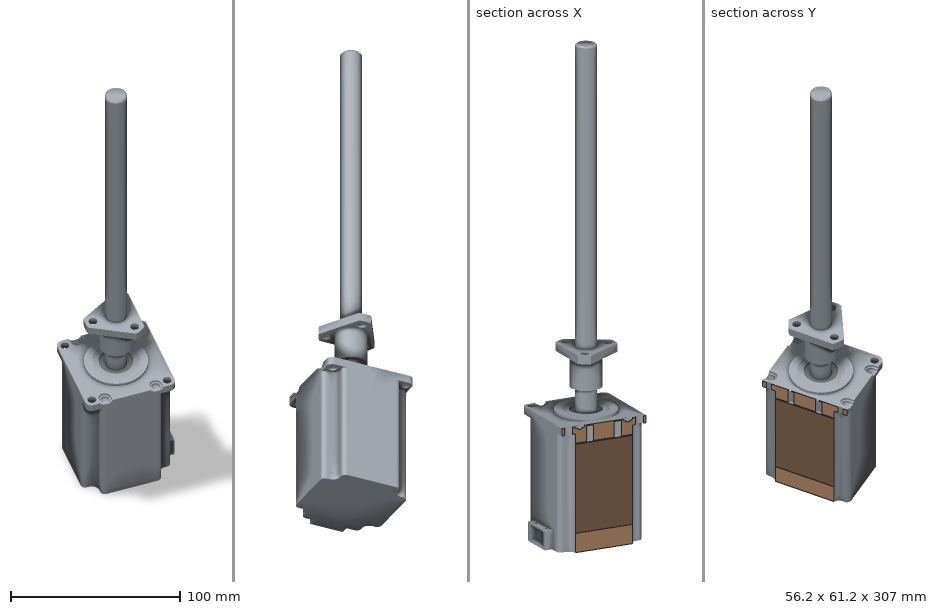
import cadquery as cq
import math

motor_width = 56.2
flange_half = motor_width / 2
total_height = 307.0

rear_cap_top = 12.0
stator_top = 67.3
spacer_top = 68.0
flange_bottom = 73.7
flange_top = 78.5
pilot_top = 80.5
nut_bottom = 94.3
nut_flange_bottom = 114.0
nut_flange_top = 119.2

hole_offset = 23.5
clearance_radius = 4.5
shoulder_radius = 2.92
flange_corner_radius = 3.7
mount_hole_radius = 2.6

pilot_radius = 19.0
pilot_well_radius = 10.0
blind_hole_radius = 2.3
blind_hole_near = 9.2
blind_hole_far = 22.7
blind_hole_skin = 1.0
pilot_step_radius = 13.8
pilot_step_depth = 0.3

notch_x = 25.0
notch_y = 16.0
notch_radius = 3.7
notch_depth = 1.2
notch_floor_radius = 2.5
notch_floor_depth = 2.0

shaft_radius = 6.5
shaft_chamfer = 1.0

nut_radius = 9.8
nut_fillet = 1.2
nut_corner_radius = 19.5
nut_edge_distance = 13.0
nut_hole_circle = 14.5
nut_hole_angle = 30
nut_hole_radius = 2.6

connector_width = 21.5
connector_length = 5.0
connector_wall = 1.0
connector_side_wall = 1.5
connector_root_fillet = 1.2
window_x = 6.0
window_width = 2.0
window_length = 2.5
window_inset = 1.5


def cylinder(radius, bottom, top):
    """Cylinder on the motor axis between two heights."""
    return cq.Workplane("XY").workplane(offset=bottom).circle(radius).extrude(top - bottom)


def quarter_turn(x, y, quarters):
    """Point turned clockwise about the motor axis by a number of quarter turns."""
    for _ in range(quarters):
        x, y = y, -x
    return x, y


def motor_block(bottom, top):
    """Square block with a rounded clearance groove along each corner."""
    inner = hole_offset - clearance_radius
    shoulder = flange_half - shoulder_radius
    flat_end = inner - shoulder_radius
    clearance_mid = hole_offset - clearance_radius * math.sqrt(0.5)
    shoulder_mid_near = inner - shoulder_radius * (1 - math.sqrt(0.5))
    shoulder_mid_far = flange_half - shoulder_radius * (1 - math.sqrt(0.5))

    profile = cq.Workplane("XY").workplane(offset=bottom).moveTo(-flat_end, flange_half)
    for quarter in range(4):
        profile = (
            profile.lineTo(*quarter_turn(flat_end, flange_half, quarter))
            .threePointArc(
                quarter_turn(shoulder_mid_near, shoulder_mid_far, quarter),
                quarter_turn(inner, shoulder, quarter),
            )
            .lineTo(*quarter_turn(inner, hole_offset, quarter))
            .threePointArc(
                quarter_turn(clearance_mid, clearance_mid, quarter),
                quarter_turn(hole_offset, inner, quarter),
            )
            .lineTo(*quarter_turn(shoulder, inner, quarter))
            .threePointArc(
                quarter_turn(shoulder_mid_far, shoulder_mid_near, quarter),
                quarter_turn(flange_half, flat_end, quarter),
            )
        )
    return profile.close().extrude(top - bottom)


def side_notch(side, end, radius, depth):
    """Round-ended cutter sunk into the flange top and running out through one X side."""
    length = flange_half - notch_x
    cutter = cq.Workplane("XY").circle(radius).extrude(depth)
    run_out = cq.Workplane("XY").center(side * length / 2, 0).rect(length, 2 * radius).extrude(depth)
    return cutter.union(run_out).translate((side * notch_x, end * notch_y, flange_top - depth))


def make_front_cap():
    """Mounting flange on a short motor block, with a pilot boss, side notches and bolt holes."""
    flange = (
        cq.Workplane("XY").workplane(offset=flange_bottom)
        .rect(motor_width, motor_width).extrude(flange_top - flange_bottom)
        .edges("|Z").fillet(flange_corner_radius)
    )
    cap = motor_block(spacer_top, flange_bottom).union(flange)
    cap = cap.union(cylinder(pilot_radius, flange_top, pilot_top))
    mount_holes = (
        cq.Workplane("XY").workplane(offset=flange_bottom)
        .rect(2 * hole_offset, 2 * hole_offset, forConstruction=True)
        .vertices().circle(mount_hole_radius).extrude(flange_top - flange_bottom)
    )
    cap = cap.cut(mount_holes)
    for x, y in ((blind_hole_near, blind_hole_far), (blind_hole_far, blind_hole_near)):
        blind_holes = (
            cq.Workplane("XY").workplane(offset=spacer_top)
            .rect(2 * x, 2 * y, forConstruction=True)
            .vertices().circle(blind_hole_radius)
            .extrude(flange_top - blind_hole_skin - spacer_top)
        )
        cap = cap.cut(blind_holes)
    for side in (-1, 1):
        for end in (-1, 1):
            cap = cap.cut(side_notch(side, end, notch_radius, notch_depth))
            cap = cap.cut(side_notch(side, end, notch_floor_radius, notch_floor_depth))
    cap = cap.cut(cylinder(pilot_step_radius, pilot_top - pilot_step_depth, pilot_top))
    cap = cap.cut(cylinder(pilot_well_radius, flange_top, pilot_top))
    return cap.cut(cylinder(shaft_radius, spacer_top, flange_top))


def make_spacer():
    """Thin plate between the stator and the front cap."""
    spacer = motor_block(stator_top, spacer_top)
    return spacer.cut(cylinder(shaft_radius, stator_top, spacer_top))


def make_shaft():
    """Round shaft standing on the stator."""
    return cylinder(shaft_radius, stator_top, total_height).faces(">Z").chamfer(shaft_chamfer)


def make_nut():
    """Flanged nut on the shaft: a three-cornered flange above a round barrel."""
    triangle_diameter = 4 * nut_edge_distance
    triangle = (
        cq.Workplane("XY").workplane(offset=nut_flange_bottom)
        .polygon(3, triangle_diameter).extrude(nut_flange_top - nut_flange_bottom)
        .rotate((0, 0, 0), (0, 0, 1), -90)
    )
    flange = triangle.intersect(cylinder(nut_corner_radius, nut_flange_bottom, nut_flange_top))
    nut = flange.union(cylinder(nut_radius, nut_bottom, nut_flange_bottom))
    flange_underside = nut.faces("<Z[-2]")
    nut = flange_underside.edges(cq.selectors.RadiusNthSelector(0)).fillet(nut_fillet)
    holes = (
        cq.Workplane("XY").workplane(offset=nut_flange_bottom)
        .polarArray(nut_hole_circle, nut_hole_angle, 360, 3)
        .circle(nut_hole_radius).extrude(nut_flange_top - nut_flange_bottom)
    )
    return nut.cut(holes).cut(cylinder(shaft_radius, nut_bottom, nut_flange_top))


def make_connector():
    """Hollow socket on the +Y face of the rear cap, open towards +Y."""
    half = connector_width / 2
    tip = flange_half + connector_length
    root_end = flange_half + connector_root_fillet
    bend = connector_root_fillet * (1 - math.sqrt(0.5))
    shell = (
        cq.Workplane("XY").moveTo(-half - connector_root_fillet, flange_half)
        .threePointArc((-half - bend, flange_half + bend), (-half, root_end))
        .lineTo(-half, tip).lineTo(half, tip)
        .lineTo(half, root_end)
        .threePointArc((half + bend, flange_half + bend), (half + connector_root_fillet, flange_half))
        .close().extrude(rear_cap_top)
    )
    cavity = cq.Workplane("XY").box(
        connector_width - 2 * connector_side_wall, connector_length - connector_wall,
        rear_cap_top - 2 * connector_wall, centered=(True, False, False),
    ).translate((0, flange_half + connector_wall, connector_wall))
    window_y = tip - window_inset - window_length / 2
    windows = (
        cq.Workplane("XY").workplane(offset=rear_cap_top - connector_wall)
        .pushPoints([(-window_x, window_y), (window_x, window_y)])
        .rect(window_width, window_length).extrude(connector_wall)
    )
    return shell.cut(cavity).cut(windows)


front_cap = make_front_cap()
spacer = make_spacer()
stator = motor_block(rear_cap_top, stator_top)
rear_cap = motor_block(0, rear_cap_top)
connector = make_connector()
shaft = make_shaft()
nut = make_nut()

result = cq.Compound.makeCompound([
    front_cap.val(),
    spacer.val(),
    stator.val(),
    rear_cap.val(),
    connector.val(),
    shaft.val(),
    nut.val(),
])